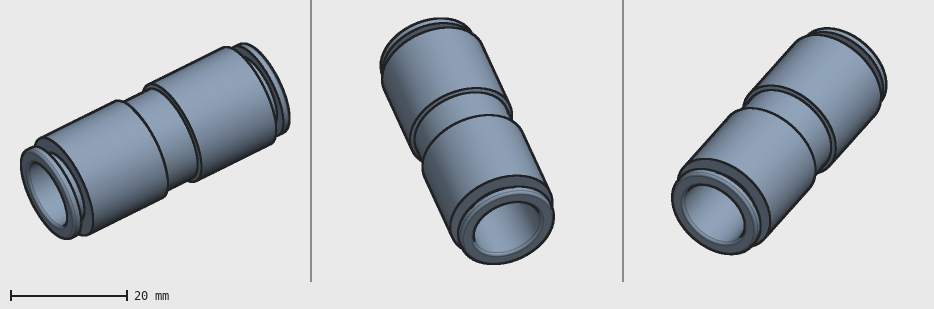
import cadquery as cq

length = 44.5
half_length = length / 2
body_diameter = 18.5

collar_diameter = 17.0
collar_thickness = 1.5
collar_rounding = 0.5
neck_diameter = 13.0
neck_length = 1.95

groove_diameter = 17.0
groove_floor_width = 6.3
groove_slope_length = 0.25

socket_diameter = 12.0
socket_depth = 17.8
through_diameter = 7.5

collar_back = half_length - collar_thickness
body_end = collar_back - neck_length
groove_floor_end = groove_floor_width / 2
groove_end = groove_floor_end + groove_slope_length


def ring_point(y, diameter):
    return (y, diameter / 2)


def make_solid_body():
    """Revolve the outer outline, from the -Y end to the +Y end."""
    half_outline = [
        ring_point(groove_floor_end, groove_diameter),
        ring_point(groove_end, body_diameter),
        ring_point(body_end, body_diameter),
        ring_point(body_end, neck_diameter),
        ring_point(collar_back, neck_diameter),
        ring_point(collar_back, collar_diameter),
        ring_point(half_length, collar_diameter),
        ring_point(half_length, 0),
    ]
    mirrored_outline = [(-y, radius) for y, radius in reversed(half_outline)]
    outline = cq.Workplane("YZ").polyline(mirrored_outline + half_outline).close()
    return outline.revolve(360, (0, 0), (1, 0))


def cut_bores(body):
    """Cut the through hole and a tube socket into each end."""
    body = body.faces("<Y").workplane(origin=(0, -half_length, 0)).hole(through_diameter)
    for end in ("<Y", ">Y"):
        body = body.faces(end).workplane(centerOption="CenterOfBoundBox").hole(socket_diameter, socket_depth)
    return body


def round_collars(body):
    """Round both circular edges of each end face."""
    for end in ("<Y", ">Y"):
        body = body.faces(end).edges().fillet(collar_rounding)
    return body


result = round_collars(cut_bores(make_solid_body()))